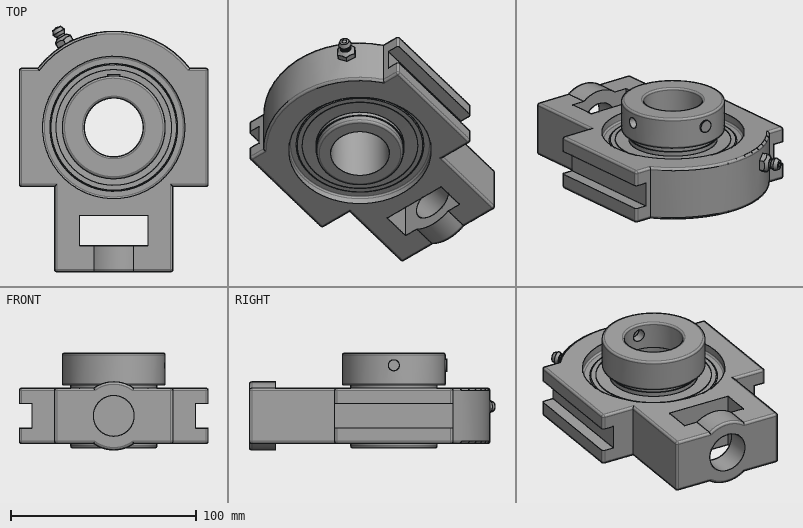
import cadquery as cq
import math

PLATE_THICKNESS = 30.0
PLATE_HALF = PLATE_THICKNESS / 2
WING_SPAN = 102.0
WING_LENGTH = 64.0
NECK_WIDTH = WING_LENGTH
NECK_END_Y = -78.0
CROWN_RADIUS = 52.0
EDGE_RADIUS = 1.3

GROOVE_WIDTH = 13.3
GROOVE_DEPTH = 6.8

BOSS_RADIUS = 18.5
BOSS_HOLE_DIAMETER = 22.0
WINDOW_WIDTH = 36.9
WINDOW_TOP_Y = -47.6
WINDOW_BOTTOM_Y = -63.8

RECESS_DIAMETER = 77.0
RECESS_FLOOR_Z = 10.1
RECESS_FLOOR_RADIUS = 0.9
SEAT_SPHERE_RADIUS = 36.0

OUTER_RING_HALF = 10.6
OUTER_RING_CHAMFER = 0.46
SHOULDER_DIAMETER = 59.0

SEAL_DIAMETER = 62.5
SEAL_DEPTH = 2.0
SEAL_RISE = 0.3

BORE_DIAMETER = 31.7
INNER_RING_DIAMETER = 46.7
INNER_RING_LAND_DIAMETER = 47.8
INNER_RING_LAND_HALF = 13.0
INNER_RING_BOTTOM_Z = -17.4
INNER_RING_TOP_Z = 18.8
INNER_RING_EDGE = 1.3

COLLAR_DIAMETER = 55.6
COLLAR_BOTTOM_Z = 16.6
COLLAR_TOP_Z = 34.0
COLLAR_TOP_RADIUS = 1.2
COLLAR_BOTTOM_RADIUS = 0.8
COLLAR_BORE_RADIUS = 1.0
SCREW_Z = 27.3
SPANNER_HOLE_DIAMETER = 6.0
SPANNER_HOLE_DEPTH = 5.3

SCREW_DIAMETER = 6.8
SCREW_INNER_Y = 21.2
SCREW_OUTER_Y = 28.7

NIPPLE_ANGLE = 120.0
NIPPLE_Z = 5.0
NIPPLE_HEX_FLATS = 9.3
NIPPLE_SHANK_DIAMETER = 5.3
NIPPLE_SHANK_LENGTH = 5.3
NIPPLE_CONE_START = 2.4
NIPPLE_NECK_START = 4.5
NIPPLE_NECK_END = 5.6
NIPPLE_HEAD_WIDEST = 7.4
NIPPLE_TIP = 9.7
NIPPLE_CONE_END_RADIUS = 2.9
NIPPLE_NECK_RADIUS = 2.3
NIPPLE_HEAD_BASE_RADIUS = 2.7
NIPPLE_HEAD_RADIUS = 3.5
NIPPLE_TIP_RADIUS = 2.5
NIPPLE_VALVE_DIAMETER = 2.5
NIPPLE_VALVE_HEIGHT = 0.5


def disc(diameter, bottom, top):
    """Cylinder on the bore axis between two heights."""
    return cq.Workplane("XY").workplane(offset=bottom).circle(diameter / 2).extrude(top - bottom)


def along_y(diameter, start, end, z=0):
    """Cylinder parallel to Y, at X = 0, from start to end."""
    plane = cq.Plane(origin=(0, start, z), xDir=(1, 0, 0), normal=(0, 1, 0))
    return cq.Workplane(plane).circle(diameter / 2).extrude(end - start)


def seat_ball():
    """Ball that shapes both the housing seat and the outer ring."""
    return cq.Workplane("XY").sphere(SEAT_SPHERE_RADIUS)


def make_plate():
    """T-shaped plate with a round crown and rounded outer edges."""
    wing_x = WING_SPAN / 2
    wing_y = WING_LENGTH / 2
    neck_x = NECK_WIDTH / 2
    crown_x = math.sqrt(CROWN_RADIUS**2 - wing_y**2)
    outline = (
        cq.Workplane("XY")
        .workplane(offset=-PLATE_HALF)
        .moveTo(crown_x, wing_y)
        .threePointArc((0, CROWN_RADIUS), (-crown_x, wing_y))
        .lineTo(-wing_x, wing_y)
        .lineTo(-wing_x, -wing_y)
        .lineTo(-neck_x, -wing_y)
        .lineTo(-neck_x, NECK_END_Y)
        .lineTo(neck_x, NECK_END_Y)
        .lineTo(neck_x, -wing_y)
        .lineTo(wing_x, -wing_y)
        .lineTo(wing_x, wing_y)
        .close()
    )
    plate = outline.extrude(PLATE_THICKNESS)
    plate = plate.edges("|Z and (>X or <X or <Y)").fillet(EDGE_RADIUS)
    return plate.faces("|Z").edges().fillet(EDGE_RADIUS)


def make_boss():
    """Round boss around the take-up screw hole, its outer rim rounded."""
    boss = along_y(2 * BOSS_RADIUS, NECK_END_Y, WINDOW_BOTTOM_Y)
    return boss.faces("<Y").edges().fillet(EDGE_RADIUS)


def make_bearing_cavity():
    """Space for the bearing: two recesses joined by the spherical seat."""
    cavity = seat_ball().intersect(disc(RECESS_DIAMETER, -RECESS_FLOOR_Z, RECESS_FLOOR_Z))
    upper = disc(RECESS_DIAMETER, RECESS_FLOOR_Z, PLATE_HALF)
    upper = upper.faces("<Z").edges().fillet(RECESS_FLOOR_RADIUS)
    return cavity.union(upper).union(upper.mirror("XY"))


def make_housing(nipple):
    """Plate and boss with the window, grooves, bearing cavity and nipple seat cut out."""
    housing = make_plate().union(make_boss())
    window_y = (WINDOW_TOP_Y + WINDOW_BOTTOM_Y) / 2
    window = (
        cq.Workplane("XY")
        .center(0, window_y)
        .rect(WINDOW_WIDTH, WINDOW_TOP_Y - WINDOW_BOTTOM_Y)
        .extrude(PLATE_THICKNESS, both=True)
    )
    housing = housing.cut(window)
    housing = housing.cut(along_y(BOSS_HOLE_DIAMETER, NECK_END_Y, WINDOW_BOTTOM_Y))
    for side in (-1, 1):
        groove_x = side * (WING_SPAN - GROOVE_DEPTH) / 2
        groove = cq.Workplane("XY").box(GROOVE_DEPTH, WING_LENGTH, GROOVE_WIDTH)
        housing = housing.cut(groove.translate((groove_x, 0, 0)))
    return housing.cut(make_bearing_cavity()).cut(nipple)


def make_seal(side):
    """Slightly dished ring between the bearing rings; side is 1 above and -1 below."""
    inner = INNER_RING_LAND_DIAMETER / 2
    outer = SEAL_DIAMETER / 2
    face = OUTER_RING_HALF + SEAL_RISE
    back = OUTER_RING_HALF - SEAL_DEPTH
    profile = [
        (inner, side * back),
        (outer, side * back),
        (outer, side * face),
        (inner, side * OUTER_RING_HALF),
    ]
    return cq.Workplane("XZ").polyline(profile).close().revolve(360, (0, 0), (0, 1))


def make_outer_ring():
    """Ring with a spherical outside and a recess for a seal at each end."""
    ring = seat_ball().intersect(disc(RECESS_DIAMETER, -OUTER_RING_HALF, OUTER_RING_HALF))
    ring = ring.faces("|Z").edges().chamfer(OUTER_RING_CHAMFER)
    ring = ring.cut(disc(SHOULDER_DIAMETER, -OUTER_RING_HALF, OUTER_RING_HALF))
    seal_back = OUTER_RING_HALF - SEAL_DEPTH
    ring = ring.cut(disc(SEAL_DIAMETER, seal_back, OUTER_RING_HALF))
    return ring.cut(disc(SEAL_DIAMETER, -OUTER_RING_HALF, -seal_back))


def make_inner_ring():
    """Ring with a slightly wider land between the seals and ends that stand out of the housing."""
    ring = disc(INNER_RING_DIAMETER, INNER_RING_BOTTOM_Z, INNER_RING_TOP_Z)
    ring = ring.faces("<Z").edges().fillet(INNER_RING_EDGE)
    ring = ring.union(disc(INNER_RING_LAND_DIAMETER, -INNER_RING_LAND_HALF, INNER_RING_LAND_HALF))
    return ring.cut(disc(BORE_DIAMETER, INNER_RING_BOTTOM_Z, INNER_RING_TOP_Z))


def make_set_screw():
    """Plain screw standing slightly out of the collar on the +Y side."""
    return along_y(SCREW_DIAMETER, SCREW_INNER_Y, SCREW_OUTER_Y, SCREW_Z)


def make_collar():
    """Locking collar seated on the end of the inner ring."""
    radius = COLLAR_DIAMETER / 2
    collar = disc(COLLAR_DIAMETER, COLLAR_BOTTOM_Z, COLLAR_TOP_Z)
    collar = collar.faces(">Z").edges().fillet(COLLAR_TOP_RADIUS)
    collar = collar.faces("<Z").edges().fillet(COLLAR_BOTTOM_RADIUS)
    collar = collar.cut(disc(BORE_DIAMETER, COLLAR_BOTTOM_Z, COLLAR_TOP_Z))
    collar = collar.faces(">Z").edges(cq.selectors.RadiusNthSelector(0)).fillet(COLLAR_BORE_RADIUS)
    collar = collar.cut(disc(INNER_RING_DIAMETER, COLLAR_BOTTOM_Z, INNER_RING_TOP_Z))
    collar = collar.cut(along_y(SCREW_DIAMETER, 0, radius, SCREW_Z))
    spanner_hole = (
        cq.Workplane("YZ")
        .workplane(offset=radius - SPANNER_HOLE_DEPTH)
        .center(0, SCREW_Z)
        .circle(SPANNER_HOLE_DIAMETER / 2)
        .extrude(SPANNER_HOLE_DEPTH)
    )
    return collar.cut(spanner_hole)


def make_nipple():
    """Hexagon, waisted head and shank, modelled upright and then laid radially on the crown."""
    corner_radius = NIPPLE_HEX_FLATS / math.sqrt(3)
    stem_profile = [
        (0, -NIPPLE_SHANK_LENGTH),
        (NIPPLE_SHANK_DIAMETER / 2, -NIPPLE_SHANK_LENGTH),
        (NIPPLE_SHANK_DIAMETER / 2, 0),
        (corner_radius, 0),
        (corner_radius, NIPPLE_CONE_START),
        (NIPPLE_CONE_END_RADIUS, NIPPLE_NECK_START),
        (NIPPLE_NECK_RADIUS, NIPPLE_NECK_START),
        (NIPPLE_NECK_RADIUS, NIPPLE_NECK_END),
        (NIPPLE_HEAD_BASE_RADIUS, NIPPLE_NECK_END),
        (NIPPLE_HEAD_RADIUS, NIPPLE_HEAD_WIDEST),
        (NIPPLE_TIP_RADIUS, NIPPLE_TIP),
        (0, NIPPLE_TIP),
    ]
    turned = cq.Workplane("XZ").polyline(stem_profile).close().revolve(360, (0, 0), (0, 1))
    hexagon = (
        cq.Workplane("XY")
        .workplane(offset=-NIPPLE_SHANK_LENGTH)
        .polygon(6, 2 * corner_radius)
        .extrude(NIPPLE_SHANK_LENGTH + NIPPLE_TIP)
    )
    cap_radius = NIPPLE_VALVE_DIAMETER / 2
    ball_radius = (cap_radius**2 + NIPPLE_VALVE_HEIGHT**2) / (2 * NIPPLE_VALVE_HEIGHT)
    ball_centre = NIPPLE_TIP + NIPPLE_VALVE_HEIGHT - ball_radius
    valve = cq.Workplane("XY").sphere(ball_radius).translate((0, 0, ball_centre))
    upright = turned.intersect(hexagon).union(valve)
    pointing_along_x = upright.rotate((0, 0, 0), (0, 1, 0), 90)
    on_crown = pointing_along_x.translate((CROWN_RADIUS, 0, NIPPLE_Z))
    return on_crown.rotate((0, 0, 0), (0, 0, 1), NIPPLE_ANGLE)


grease_nipple = make_nipple()
housing = make_housing(grease_nipple)
outer_ring = make_outer_ring()
inner_ring = make_inner_ring()
seals = [make_seal(side) for side in (-1, 1)]
collar = make_collar()
set_screw = make_set_screw()

result = cq.Compound.makeCompound(
    [
        housing.val(),
        outer_ring.val(),
        inner_ring.val(),
        *[seal.val() for seal in seals],
        collar.val(),
        set_screw.val(),
        grease_nipple.val(),
    ]
)